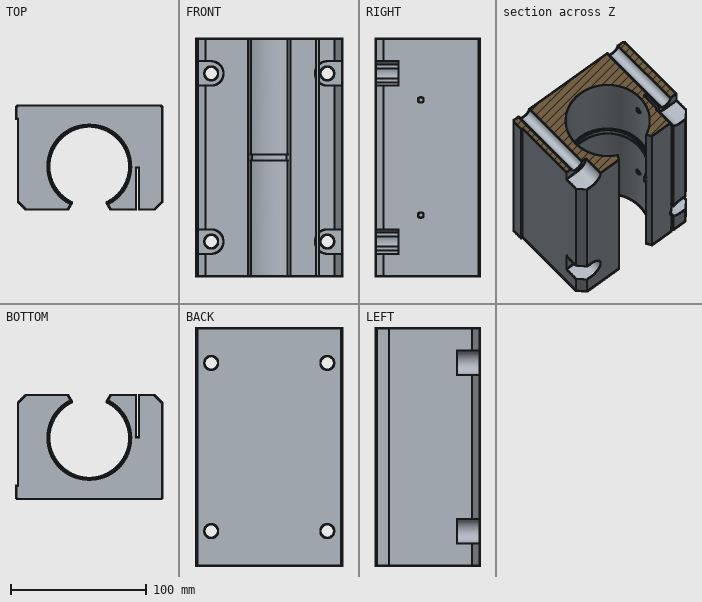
import cadquery as cq

length = 176.0
overall_width = 108.0
depth = 77.0
front_to_axis = 31.9
edge_chamfer = 5.8
rear_chamfer = 1.0

ledge_step = 1.2
ledge_depth = 10.0

bore_diameter = 62.0
rib_diameter = 59.1
rib_length = 4.8
lip_half_width = 13.2
mouth_half_width = 15.8
lip_height = 4.4

slit_x = 35.7
slit_width = 2.1
slit_depth = 31.2

bolt_diameter = 10.0
bolt_spacing_x = 85.9
bolt_spacing_z = 124.5
counterbore_diameter = 18.1
counterbore_depth = 16.7

cross_hole_diameter = 4.0
cross_hole_spacing = 85.2
cross_hole_y = 1.5

right = overall_width / 2
ledge_left = -right
body_left = ledge_left + ledge_step
front = -front_to_axis
rear = front + depth


def centred_cylinder(diameter, height):
    return cq.Workplane("XY").circle(diameter / 2).extrude(height / 2, both=True)


def make_block():
    outline = [
        (ledge_left, rear - rear_chamfer),
        (ledge_left + rear_chamfer, rear),
        (right - rear_chamfer, rear),
        (right, rear - rear_chamfer),
        (right, front + edge_chamfer),
        (right - edge_chamfer, front),
        (body_left + edge_chamfer, front),
        (body_left, front + edge_chamfer),
        (body_left, rear - ledge_depth),
        (ledge_left, rear - ledge_depth),
    ]
    return cq.Workplane("XY").polyline(outline).close().extrude(length / 2, both=True)


def make_bore():
    """Bore void, narrowed at mid length to leave the rib standing."""
    rib_space = centred_cylinder(bore_diameter, rib_length)
    bore = centred_cylinder(bore_diameter, length).cut(rib_space)
    return bore.union(centred_cylinder(rib_diameter, length))


def make_mouth():
    """Opening between the bore and the front face, flared towards the front."""
    flare_slope = (mouth_half_width - lip_half_width) / lip_height
    inner_y = front + 2 * lip_height
    inner_half_width = mouth_half_width - flare_slope * (inner_y - front)
    outline = [
        (-mouth_half_width, front),
        (mouth_half_width, front),
        (inner_half_width, inner_y),
        (-inner_half_width, inner_y),
    ]
    return cq.Workplane("XY").polyline(outline).close().extrude(length / 2, both=True)


def make_slit():
    return cq.Workplane("XY").box(slit_width, slit_depth, length).translate(
        (slit_x, front + slit_depth / 2, 0)
    )


def make_mounting_hole(side, z):
    """Through hole along Y; its counterbore runs out through the given side."""
    x = side * bolt_spacing_x / 2
    plane = cq.Workplane("XZ", origin=(x, front, z))
    hole = plane.circle(bolt_diameter / 2).extrude(-depth)
    counterbore = plane.circle(counterbore_diameter / 2).extrude(-counterbore_depth)
    run_out = right - bolt_spacing_x / 2
    side_opening = (
        plane.center(side * run_out / 2, 0)
        .rect(run_out, counterbore_diameter)
        .extrude(-counterbore_depth)
    )
    return hole.union(counterbore).union(side_opening)


def make_cross_hole(z):
    plane = cq.Workplane("YZ", origin=(0, cross_hole_y, z))
    return plane.circle(cross_hole_diameter / 2).extrude(right)


result = make_block().cut(make_bore()).cut(make_mouth()).cut(make_slit())
for end in (-1, 1):
    for side in (-1, 1):
        result = result.cut(make_mounting_hole(side, end * bolt_spacing_z / 2))
    result = result.cut(make_cross_hole(end * cross_hole_spacing / 2))